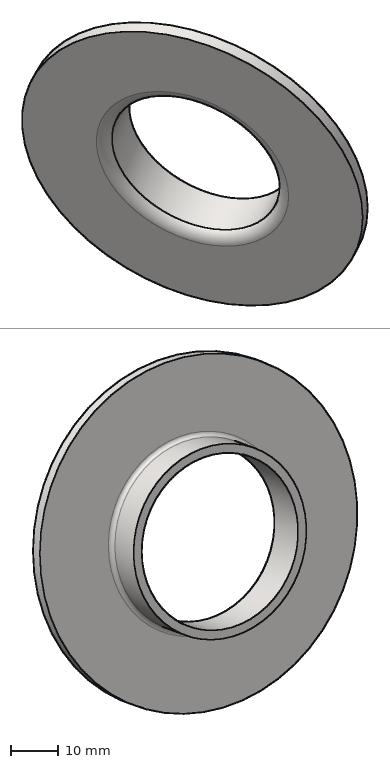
import cadquery as cq
import math

flange_radius = 39.0
flange_thickness = 3.0
total_length = 12.0
bore_radius = 19.2
wall_thickness = 2.0
hub_radius = bore_radius + wall_thickness

mouth_radius = 22.0
mouth_rounding = 3.0

root_fillet = 1.0

mouth_width = mouth_radius - bore_radius
mouth_sweep = math.asin(mouth_width / mouth_rounding)
mouth_depth = mouth_rounding * (1 - math.cos(mouth_sweep))
mouth_middle = (
    mouth_radius - mouth_rounding * math.sin(mouth_sweep / 2),
    mouth_rounding * (1 - math.cos(mouth_sweep / 2)),
)

root_inset = root_fillet * (1 - math.sqrt(0.5))
root_middle = (hub_radius + root_inset, flange_thickness + root_inset)

half_section = (
    cq.Workplane("XY")
    .moveTo(mouth_radius, 0)
    .lineTo(flange_radius, 0)
    .lineTo(flange_radius, flange_thickness)
    .lineTo(hub_radius + root_fillet, flange_thickness)
    .threePointArc(root_middle, (hub_radius, flange_thickness + root_fillet))
    .lineTo(hub_radius, total_length)
    .lineTo(bore_radius, total_length)
    .lineTo(bore_radius, mouth_depth)
    .threePointArc(mouth_middle, (mouth_radius, 0))
    .close()
)

result = half_section.revolve(360, (0, 0, 0), (0, 1, 0))